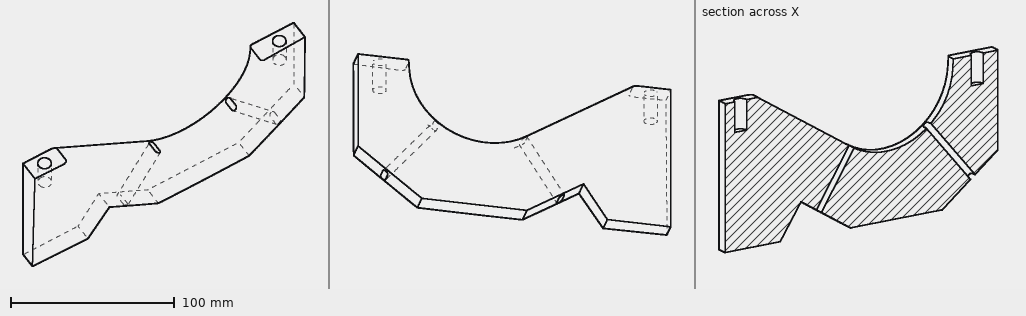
import cadquery as cq
import math

thickness = 14.0
length = 196.0
height = 96.0
half_length = length / 2

saddle_y = 18.0
saddle_z = -3.5
saddle_radius = 47.5
ramp_angle = 33.0
lip_angle = 3.0
edge_round = 2.0
draft_angle = 2.0
reach = 176.4

corner_z = -64.5
foot_y = 58.0
notch_start_y = -7.8
notch_peak_y = -43.3

bolt_diameter = 8.2
bolt_depth = 19.6
bolt_positions_y = (83.1, -86.8)

slot_length = 9.8
slot_width = 4.0
slot_angles = (39.5, -32.0)


def edge_section(angle):
    """Rounded, drafted section at an angle from straight down, looking out from the saddle axis."""
    direction = math.radians(angle)
    outward = cq.Vector(0, math.sin(direction), -math.cos(direction))
    origin = cq.Vector(0, saddle_y, saddle_z)
    along_edge = outward.cross(cq.Vector(1, 0, 0))
    outer_thickness = thickness - reach * math.tan(math.radians(draft_angle))
    rounded_corner = edge_round * (1 - math.sqrt(0.5))
    start = saddle_radius
    return (
        cq.Workplane(cq.Plane(origin=origin, xDir=outward, normal=along_edge))
        .moveTo(start, edge_round)
        .threePointArc((start + rounded_corner, rounded_corner), (start + edge_round, 0))
        .lineTo(start + reach, 0)
        .lineTo(start + reach, outer_thickness)
        .lineTo(start + edge_round, thickness)
        .threePointArc(
            (start + rounded_corner, thickness - rounded_corner),
            (start, thickness - edge_round),
        )
        .close()
    )


def slab():
    """Sweep of the edge section along ramp, saddle and lip."""
    lip_section_angle = 90 - lip_angle
    saddle = edge_section(-ramp_angle).revolve(
        ramp_angle + lip_section_angle, (0, 0, 0), (0, 1, 0)
    )
    ramp = edge_section(-ramp_angle).extrude(reach)
    lip = edge_section(lip_section_angle).extrude(-reach)
    return saddle.union(ramp).union(lip)


def outline():
    """Outer boundary; the notch has a square corner with one side parallel to the ramp."""
    slope = math.tan(math.radians(ramp_angle))
    notch_depth = (notch_start_y - notch_peak_y) * slope
    notch_end_y = notch_peak_y - notch_depth * slope
    return (
        cq.Workplane("YZ")
        .polyline([
            (half_length, 0),
            (half_length, corner_z),
            (foot_y, -height),
            (notch_start_y, -height),
            (notch_peak_y, -height + notch_depth),
            (notch_end_y, -height),
            (-half_length, -height),
            (-half_length, 0),
        ])
        .close()
        .extrude(thickness)
    )


def bolt_hole(y):
    return (
        cq.Workplane("XY")
        .center(thickness / 2, y)
        .circle(bolt_diameter / 2)
        .extrude(-bolt_depth)
    )


def strap_slot(angle):
    direction = math.radians(angle)
    outward = (0, math.sin(direction), -math.cos(direction))
    origin = (thickness / 2, saddle_y, saddle_z)
    return (
        cq.Workplane(cq.Plane(origin=origin, xDir=(1, 0, 0), normal=outward))
        .slot2D(slot_length, slot_width)
        .extrude(reach)
    )


result = slab().intersect(outline())
for bolt_y in bolt_positions_y:
    result = result.cut(bolt_hole(bolt_y))
for slot_angle in slot_angles:
    result = result.cut(strap_slot(slot_angle))